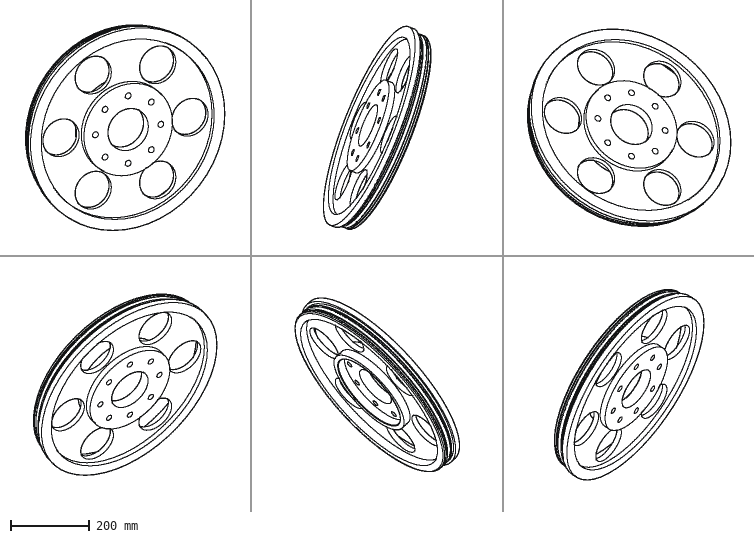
import cadquery as cq


outer_diameter = 545.71
overall_width = 53.39
front_face = 0.0

land_radius = 265.5
rim_chamfer = 3.1
groove_depth = 4.5
groove_radius = land_radius - groove_depth
rim_inner_radius = 242.8
first_groove_start = 8.0
first_groove_width = 6.2
second_groove_start = 24.0
second_groove_width = 5.2
flange_start = 35.7
flange_width = 14.6
flange_end = flange_start + flange_width

web_front = 22.2
web_thickness = 14.8
window_count = 6
window_diameter = 101.2
window_circle_radius = 181.0

hub_radius = 124.3
recess_radius = 109.8
recess_depth = 23.5
recess_chamfer = 1.5
bore_diameter = 113.0
bolt_count = 8
bolt_hole_diameter = 15.9
bolt_circle_radius = 91.8


def disc(radius, start, thickness):
    """Solid disc about the X axis, running back from the start station."""
    return cq.Workplane("YZ").workplane(offset=start).circle(radius).extrude(thickness)


def hole_ring(count, diameter, circle_radius):
    """Cutters for evenly spaced holes running through the full width, the first one on +Y."""
    return (
        cq.Workplane("YZ")
        .workplane(offset=front_face)
        .polarArray(circle_radius, 0, 360, count)
        .circle(diameter / 2)
        .extrude(overall_width)
    )


def groove(start, width):
    """Ring cutter for one square groove around the rim."""
    return disc(outer_diameter / 2, start, width).cut(disc(groove_radius, start, width))


def make_rim():
    """Ring with a chamfered front edge, two outer grooves and a flange at the back."""
    land = disc(land_radius, front_face, flange_end - front_face).faces("<X").chamfer(rim_chamfer)
    flange = disc(outer_diameter / 2, flange_start, flange_width)
    opening = disc(rim_inner_radius, front_face, overall_width)
    return (
        land.union(flange)
        .cut(opening)
        .cut(groove(first_groove_start, first_groove_width))
        .cut(groove(second_groove_start, second_groove_width))
    )


def make_web():
    """Plain disc joining the hub to the rim."""
    return disc(rim_inner_radius, web_front, web_thickness)


def make_hub_recess():
    """Wide front recess of the hub, chamfered at its mouth."""
    outline = [
        (front_face, 0),
        (front_face, recess_radius + recess_chamfer),
        (front_face + recess_chamfer, recess_radius),
        (front_face + recess_depth, recess_radius),
        (front_face + recess_depth, 0),
    ]
    return cq.Workplane("XY").polyline(outline).close().revolve(360, (0, 0, 0), (1, 0, 0))


result = (
    make_rim()
    .union(make_web())
    .union(disc(hub_radius, front_face, overall_width))
    .cut(make_hub_recess())
    .cut(disc(bore_diameter / 2, front_face, overall_width))
    .cut(hole_ring(window_count, window_diameter, window_circle_radius))
    .cut(hole_ring(bolt_count, bolt_hole_diameter, bolt_circle_radius))
)